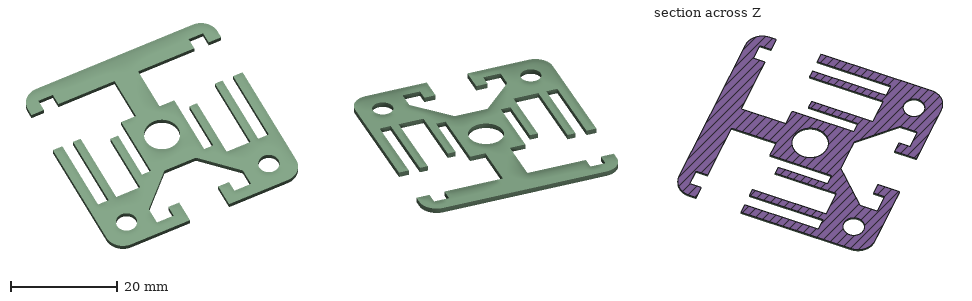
import cadquery as cq

side = 40.0
thickness = 1.0
corner_radius = 3.5
half = side / 2

center_bore_diameter = 6.8
screw_hole_diameter = 4.0
screw_hole_offset = 15.0

flange_inner_x = -15.0
flange_notch_x = -17.35
flange_notch_bottom = 14.3
flange_notch_top = 17.35
web_half_width = 2.5

block_left_x = -6.0
block_half_height = 5.6
short_fin_left_x = -3.5
short_fin_bottom = 7.5
short_fin_top = 9.1
middle_fin_bottom = 14.15
middle_fin_top = 15.75
outer_fin_bottom = 18.0
inner_slot_end_x = 6.55
outer_slot_end_x = 9.0

slot_floor_x = 7.65
slot_floor_half_width = 3.3
slot_half_width = 9.9
slot_shoulder_x = slot_floor_x + slot_half_width - slot_floor_half_width
lip_inner_x = 17.7
lip_tip_x = 15.45
lip_top = 6.4
mouth_half_width = 4.1

upper_outline = [
    (-half, 0),
    (-half, half),
    (flange_inner_x, half),
    (flange_inner_x, flange_notch_top),
    (flange_notch_x, flange_notch_top),
    (flange_notch_x, flange_notch_bottom),
    (flange_inner_x, flange_notch_bottom),
    (flange_inner_x, web_half_width),
    (block_left_x, web_half_width),
    (block_left_x, block_half_height),
    (inner_slot_end_x, block_half_height),
    (inner_slot_end_x, short_fin_bottom),
    (short_fin_left_x, short_fin_bottom),
    (short_fin_left_x, short_fin_top),
    (outer_slot_end_x, short_fin_top),
    (outer_slot_end_x, middle_fin_bottom),
    (block_left_x, middle_fin_bottom),
    (block_left_x, middle_fin_top),
    (outer_slot_end_x, middle_fin_top),
    (outer_slot_end_x, outer_fin_bottom),
    (block_left_x, outer_fin_bottom),
    (block_left_x, half),
    (half, half),
    (half, mouth_half_width),
    (lip_tip_x, mouth_half_width),
    (lip_tip_x, lip_top),
    (lip_inner_x, lip_top),
    (lip_inner_x, slot_half_width),
    (slot_shoulder_x, slot_half_width),
    (slot_floor_x, slot_floor_half_width),
    (slot_floor_x, 0),
]

upper_half = cq.Workplane("XY").polyline(upper_outline).close().extrude(thickness)
profile = upper_half.union(upper_half.mirror("XZ")).clean()

rounded_square = (
    cq.Workplane("XY")
    .rect(side, side)
    .extrude(thickness)
    .edges("|Z")
    .fillet(corner_radius)
)
plate = profile.intersect(rounded_square)

center_bore = cq.Workplane("XY").circle(center_bore_diameter / 2).extrude(thickness)
screw_holes = (
    cq.Workplane("XY")
    .pushPoints([(screw_hole_offset, y) for y in (-screw_hole_offset, screw_hole_offset)])
    .circle(screw_hole_diameter / 2)
    .extrude(thickness)
)

result = plate.cut(center_bore).cut(screw_holes)